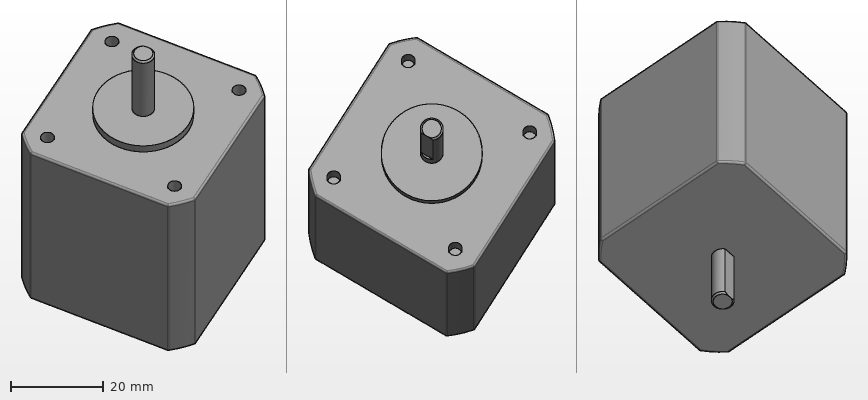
import cadquery as cq

total_length = 83.3
body_width = 42.3
top_shaft_length = 20.0
bottom_shaft_length = 15.0
body_height = total_length - top_shaft_length - bottom_shaft_length
corner_radius = 27.0
edge_radius = 0.5

pilot_diameter = 22.0
pilot_height = 2.0

shaft_diameter = 5.0
shaft_bevel = 0.4
flat_depth = 0.5
top_flat_length = 15.0

hole_spacing = 31.0
hole_diameter = 3.0
hole_depth = 4.5

shaft_top = body_height + top_shaft_length


def make_body():
    """Square housing with turned corners and every edge rounded."""
    square = cq.Workplane("XY").rect(body_width, body_width).extrude(body_height)
    turned = cq.Workplane("XY").circle(corner_radius).extrude(body_height)
    return square.intersect(turned).edges().fillet(edge_radius)


def make_shaft():
    """Through shaft with bevelled ends and a flat on the +Y side of each end."""
    shaft = (
        cq.Workplane("XY", origin=(0, 0, -bottom_shaft_length))
        .circle(shaft_diameter / 2)
        .extrude(total_length)
        .faces("<Z or >Z")
        .chamfer(shaft_bevel)
    )
    flat_y = shaft_diameter / 2 - flat_depth
    for bottom, length in (
        (-bottom_shaft_length, bottom_shaft_length),
        (shaft_top - top_flat_length, top_flat_length),
    ):
        cutter = cq.Workplane("XY").box(
            shaft_diameter, shaft_diameter, length, centered=(True, False, False)
        )
        shaft = shaft.cut(cutter.translate((0, flat_y, bottom)))
    return shaft


def make_mounting_holes():
    """Four blind screw holes sunk into the top face."""
    return (
        cq.Workplane("XY", origin=(0, 0, body_height))
        .rect(hole_spacing, hole_spacing, forConstruction=True)
        .vertices()
        .circle(hole_diameter / 2)
        .extrude(-hole_depth)
    )


pilot = cq.Workplane("XY", origin=(0, 0, body_height)).circle(pilot_diameter / 2).extrude(pilot_height)

result = make_body().cut(make_mounting_holes()).union(pilot).union(make_shaft())